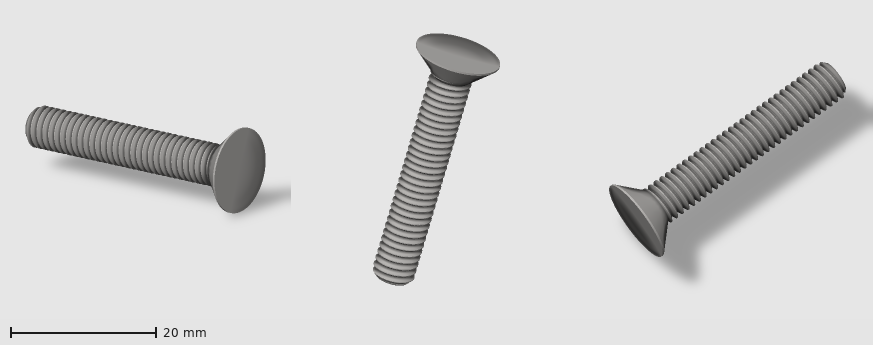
import cadquery as cq
import math

length = 35.0
head_diameter = 12.0
rim_thickness = 0.28
thread_diameter = 6.0
tip_diameter = 4.5
pitches_in_length = 35
pitch = length / pitches_in_length

head_radius = head_diameter / 2
crest_radius = thread_diameter / 2
tip_radius = tip_diameter / 2

crest_flat = pitch / 8
root_flat = crest_flat
flank_run = (pitch - crest_flat - root_flat) / 2
root_radius = crest_radius - flank_run / math.tan(math.radians(30))

rim_start = length - rim_thickness
cone_start = rim_start - (head_radius - root_radius)
cone_at_crest = rim_start - (head_radius - crest_radius)

first_turn = -3
last_turn = math.ceil(cone_at_crest / pitch)

thread_profile = [
    (-crest_flat / 2 - flank_run - root_flat, root_radius),
    (-crest_flat / 2 - flank_run, root_radius),
    (-crest_flat / 2, crest_radius),
    (crest_flat / 2, crest_radius),
    (crest_flat / 2 + flank_run, root_radius),
]


def helix_turn(x, radius):
    """One right-handed turn about X, starting at +Y."""
    start = cq.Location(cq.Plane.YZ((x, 0, 0)))
    return cq.Wire.makeHelix(pitch, pitch, radius).moved(start).Edges()[0]


def make_turn_faces(turn):
    """The root, flank and crest faces of one turn of the thread."""
    points = [(turn * pitch + x, radius) for x, radius in thread_profile]
    return [
        cq.Face.makeRuledSurface(helix_turn(*near), helix_turn(*far))
        for near, far in zip(points, points[1:])
    ]


def make_end_faces(turn):
    """Close the thread where a turn begins: a helicoid to the axis and the flat step it leaves."""
    x_near = turn * pitch + thread_profile[0][0]
    x_far = x_near + pitch
    axis = cq.Edge.makeLine(cq.Vector(x_near, 0, 0), cq.Vector(x_far, 0, 0))
    helicoid = cq.Face.makeRuledSurface(axis, helix_turn(x_near, root_radius))
    outline = [(turn * pitch + x, radius) for x, radius in thread_profile]
    outline += [(x_far, 0), (x_near, 0)]
    step = cq.Wire.makePolygon([cq.Vector(x, radius, 0) for x, radius in outline], close=True)
    return [helicoid, cq.Face.makeFromWires(step)]


def make_thread():
    """Solid threaded rod, built from its faces turn by turn."""
    faces = make_end_faces(first_turn) + make_end_faces(last_turn)
    for turn in range(first_turn, last_turn):
        faces += make_turn_faces(turn)
    return cq.Workplane(cq.Solid.makeSolid(cq.Shell.makeShell(faces)))


def revolve_about_x(points):
    """Solid of revolution about X from (x, radius) outline points."""
    return cq.Workplane("XY").polyline(points).close().revolve(360, (0, 0, 0), (1, 0, 0))


def make_tip_cutter():
    """Stock around the tip that trims it to a flat end face and a 45 degree chamfer."""
    far_end = 2 * first_turn * pitch
    outer_radius = crest_radius + pitch
    return revolve_about_x([
        (far_end, 0),
        (0, 0),
        (0, tip_radius),
        (outer_radius - tip_radius, outer_radius),
        (far_end, outer_radius),
    ])


def make_head():
    """Countersunk cone with a thin cylindrical rim and a flat outer face."""
    return revolve_about_x([
        (cone_start, 0),
        (cone_start, root_radius),
        (rim_start, head_radius),
        (length, head_radius),
        (length, 0),
    ])


result = make_thread().cut(make_tip_cutter()).union(make_head())